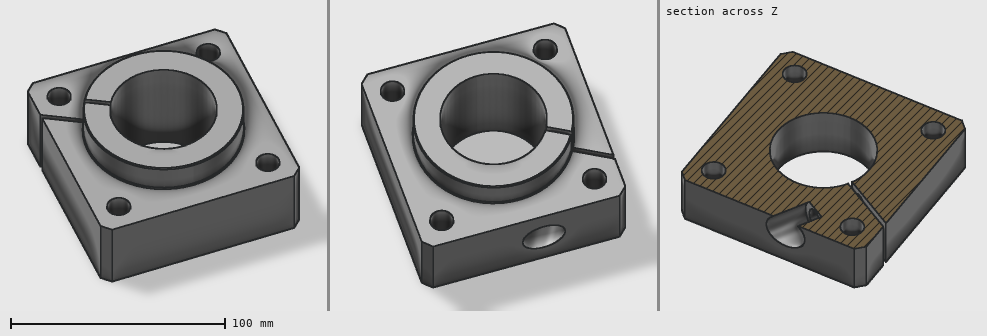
import cadquery as cq
import math

side = 100.0
base_height = 36.0
corner_chamfer = 4.2
hole_diameter = 11.0
hole_spacing = 75.0

total_height = 50.0
collar_diameter = 75.0
bore_diameter = 50.0
edge_height = 0.8
edge_width = 0.4

slot_width = 2.0
slot_angle = 240.0

screw_distance = 32.5
screw_height = base_height / 2
head_diameter = 18.0
clearance_diameter = 11.0
tap_diameter = 8.4
head_seat_to_slot = 22.0
tap_depth = 25.0


def make_base():
    plate = cq.Workplane("XY").box(side, side, base_height, centered=(True, True, False))
    plate = plate.edges("|Z").chamfer(corner_chamfer)
    return (
        plate.faces(">Z").workplane()
        .rect(hole_spacing, hole_spacing, forConstruction=True)
        .vertices().hole(hole_diameter)
    )


def make_collar():
    """Revolve a collar with a chamfered rim and a small flare at its foot."""
    radius = collar_diameter / 2
    return (
        cq.Workplane("XZ")
        .moveTo(0, base_height)
        .lineTo(radius + edge_width, base_height)
        .lineTo(radius, base_height + edge_height)
        .lineTo(radius, total_height - edge_height)
        .lineTo(radius - edge_width, total_height)
        .lineTo(0, total_height)
        .close()
        .revolve(360, (0, 0, 0), (0, 1, 0))
    )


def make_slot():
    slot = cq.Workplane("XY").box(side, slot_width, total_height, centered=(False, True, False))
    return slot.rotate((0, 0, 0), (0, 0, 1), slot_angle)


def make_screw_hole():
    """Stepped hole: head recess and clearance before the slot, blind tapped hole after it."""
    angle = math.radians(slot_angle)
    slot_direction = cq.Vector(math.cos(angle), math.sin(angle), 0)
    screw_direction = cq.Vector(-math.sin(angle), math.cos(angle), 0)
    slot_crossing = slot_direction * screw_distance + cq.Vector(0, 0, screw_height)
    slot_face = slot_width / 2
    head_seat = -slot_face - head_seat_to_slot

    def bore(diameter, start, end):
        origin = slot_crossing + screw_direction * start
        return cq.Solid.makeCylinder(diameter / 2, end - start, origin, screw_direction)

    head_recess = bore(head_diameter, -side, head_seat)
    clearance = bore(clearance_diameter, head_seat, 0)
    tapped_hole = bore(tap_diameter, 0, slot_face + tap_depth)
    return cq.Workplane(head_recess).union(cq.Workplane(clearance)).union(cq.Workplane(tapped_hole))


main_bore = cq.Workplane("XY").circle(bore_diameter / 2).extrude(total_height)

result = (
    make_base()
    .union(make_collar())
    .cut(main_bore)
    .cut(make_slot())
    .cut(make_screw_hole())
)